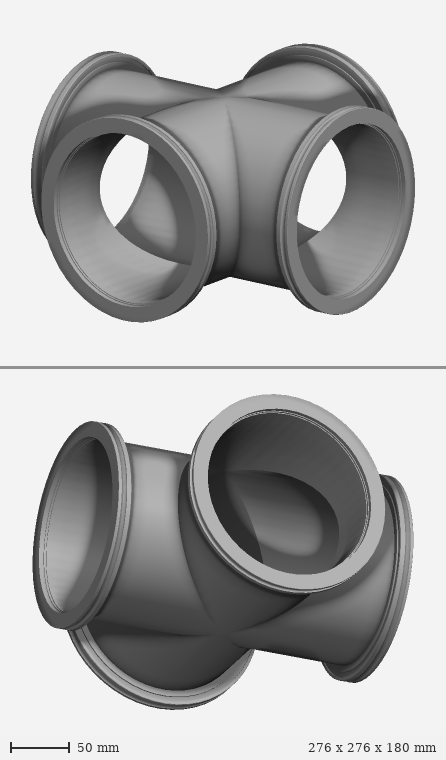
import cadquery as cq
import math

span = 276.0
half_span = span / 2

tube_outer_radius = 77.0
tube_inner_radius = 75.0

flange_radius = 90.0
face_chamfer = 0.3
back_chamfer = 0.41

recess_radius = 76.5
recess_depth = 4.5
bore_length = 2.0
bore_radius = (recess_radius + tube_inner_radius) / 2
tube_setback = recess_depth + bore_length

lip_thickness = 2.8
groove_lip_width = 2.5
groove_lip_bulge = -0.5
groove_arc_radius = 2.5
rear_land_width = 4.0
flange_thickness = lip_thickness + groove_lip_width + groove_arc_radius + rear_land_width + back_chamfer

back_groove_inner_radius = 82.5
back_groove_outer_radius = 87.2
back_groove_depth = 1.5

BRANCH_ANGLES = (0, 90, 180, 270)


def cross_cylinders(radius, half_length):
    """Two crossing cylinders, along X and along Y, as one solid."""
    along_x = cq.Workplane("YZ").circle(radius).extrude(half_length, both=True)
    along_y = cq.Workplane("XZ").circle(radius).extrude(half_length, both=True)
    return along_x.union(along_y)


def make_tube_cross():
    """Four-way thin-walled tube with mitred intersections, open at its four ends."""
    half_length = half_span - tube_setback
    outside = cross_cylinders(tube_outer_radius, half_length)
    inside = cross_cylinders(tube_inner_radius, half_length)
    return outside.cut(inside)


def make_flange():
    """Flange ring on the +X branch, revolved about X from its half section (x, radius)."""
    back = half_span - flange_thickness
    recess_floor = half_span - recess_depth
    socket_floor = half_span - tube_setback
    back_groove_floor = back + back_groove_depth

    groove_front = half_span - lip_thickness
    groove_bottom = groove_front - groove_lip_width
    groove_rear = groove_bottom - groove_arc_radius
    arc_offset = groove_arc_radius * math.sqrt(0.5)

    section = (
        cq.Workplane("XY")
        .moveTo(back, tube_outer_radius)
        .lineTo(back, back_groove_inner_radius)
        .lineTo(back_groove_floor, back_groove_inner_radius)
        .lineTo(back_groove_floor, back_groove_outer_radius)
        .lineTo(back, back_groove_outer_radius)
        .lineTo(back, flange_radius - back_chamfer)
        .lineTo(back + back_chamfer, flange_radius)
        .lineTo(groove_rear, flange_radius)
        .threePointArc(
            (groove_bottom - arc_offset, flange_radius - arc_offset),
            (groove_bottom, flange_radius - groove_arc_radius),
        )
        .sagittaArc((groove_front, flange_radius), groove_lip_bulge)
        .lineTo(half_span - face_chamfer, flange_radius)
        .lineTo(half_span, flange_radius - face_chamfer)
        .lineTo(half_span, recess_radius)
        .lineTo(recess_floor, recess_radius)
        .lineTo(recess_floor, bore_radius)
        .lineTo(socket_floor, bore_radius)
        .lineTo(socket_floor, tube_outer_radius)
        .close()
    )
    return section.revolve(360, (0, 0, 0), (1, 0, 0))


tube_cross = make_tube_cross()

flanges = []
for angle in BRANCH_ANGLES:
    flange = make_flange().rotate((0, 0, 0), (0, 0, 1), angle)
    flanges.append(flange.val())

result = cq.Compound.makeCompound([tube_cross.val(), *flanges])